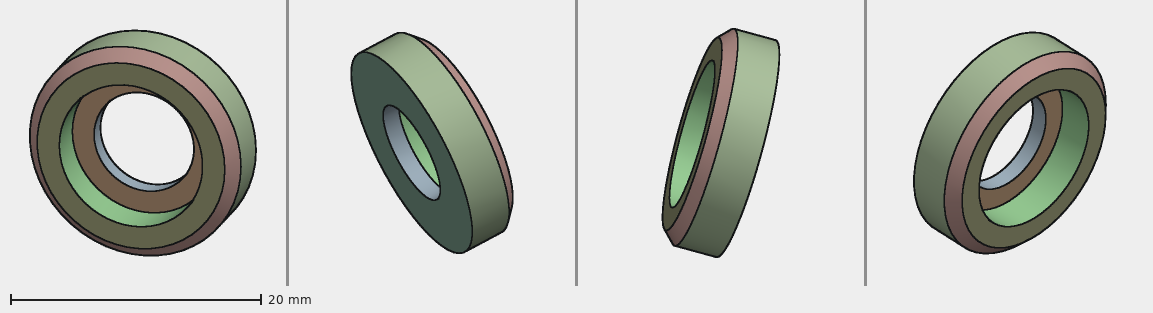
import cadquery as cq

outer_diameter = 18
thickness = 4.5
chamfer = 1.0
bore_diameter = 8.5
counterbore_diameter = 12.2
counterbore_depth = 3.0

ring = cq.Workplane("XZ").circle(outer_diameter / 2).extrude(thickness)
ring = ring.faces("<Y").edges().chamfer(chamfer)

result = ring.faces("<Y").workplane(centerOption="CenterOfBoundBox").cboreHole(
    bore_diameter, counterbore_diameter, counterbore_depth
)